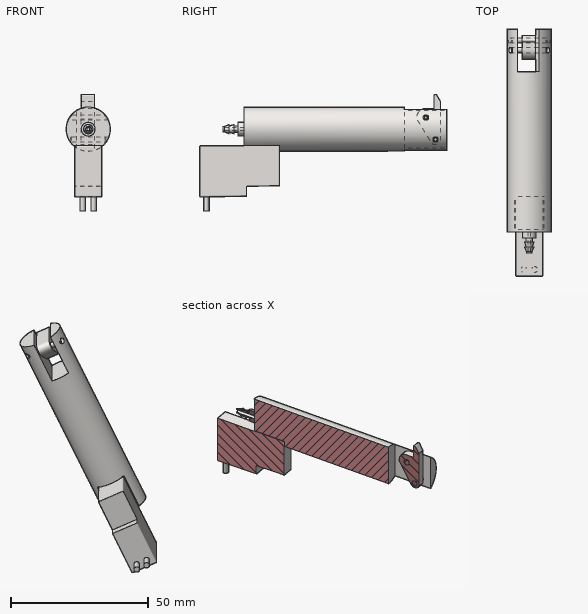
import cadquery as cq
import math


OVERALL_LENGTH = 89.6
OVERALL_HEIGHT = 42.3

TUBE_LENGTH = 73.6
TUBE_DIAMETER = 16.0
TUBE_RADIUS = TUBE_DIAMETER / 2
SLOT_DEPTH = 15.4
SLOT_LEFT = -4.2
SLOT_RIGHT = 2.3
SLOT_TOP_FLAT = 7.2
SEAT_Z = -6.0

PIN_RADIUS = 1.0
PIN_LENGTH = 13.0
PIN_CHAMFER = 0.45
PIVOT_Y = TUBE_LENGTH - 7.6
PIVOT_Z = 4.2
GUIDE_Y = TUBE_LENGTH - 4.1
GUIDE_Z = -3.8
PIN_CENTRES = [(PIVOT_Y, PIVOT_Z), (GUIDE_Y, GUIDE_Z)]

JAW_LEFT = -2.6
JAW_RIGHT = SLOT_RIGHT
JAW_FRONT_Y = TUBE_LENGTH - 2.2
FINGER_THICKNESS = 2.5
FINGER_TOP = TUBE_RADIUS + 4.6
FINGER_TIP_RADIUS = 0.6
FINGER_SLOPE = 60.0
PIVOT_BOSS_RADIUS = 3.3
JAW_HEEL_DROP = 0.5
GUIDE_BOSS_RADIUS = JAW_FRONT_Y - GUIDE_Y

FLANGE_RADIUS = 2.5
FLANGE_END = 2.15
NECK_RADIUS = 1.2
BARB_RADIUS = 1.7
FIRST_BARB = 3.5
SECOND_BARB = 5.4
SECOND_BARB_END = 7.1
NOZZLE_END = 7.6
TIP_RADIUS = 1.0
BORE_RADIUS = 0.5

BLOCK_WIDTH = 9.95
BLOCK_FRONT_Y = TUBE_LENGTH - OVERALL_LENGTH
BLOCK_BACK_Y = 13.0
STEP_Y = 1.0
BACK_BOTTOM_Z = -20.5
STEP_UPPER_Z = -20.8
STEP_LOWER_Z = -24.4
FRONT_BOTTOM_Z = -24.6
BLOCK_FILLET = 0.5

CONTACT_DIAMETER = 2.1
CONTACT_RADIUS = CONTACT_DIAMETER / 2
CONTACT_SPACING = 3.9
CONTACT_Y = BLOCK_FRONT_Y + 2.5
CONTACT_BOTTOM_Z = FINGER_TOP - OVERALL_HEIGHT


def box_between(x0, x1, y0, y1, z0, z1):
    """Box given by its limits along each axis."""
    return cq.Workplane("XY").box(x1 - x0, y1 - y0, z1 - z0, centered=False).translate((x0, y0, z0))


def cylinder_along_x(x0, x1, radius, centre):
    """Cylinder from x0 to x1 around a (Y, Z) centre."""
    return cq.Workplane("YZ", origin=(x0, 0, 0)).center(*centre).circle(radius).extrude(x1 - x0)


def make_housing():
    tube = cq.Workplane("XZ").circle(TUBE_RADIUS).extrude(-TUBE_LENGTH)
    reach = 2 * TUBE_RADIUS
    slot_y = TUBE_LENGTH - SLOT_DEPTH
    tube = tube.cut(box_between(SLOT_LEFT, SLOT_RIGHT, slot_y, TUBE_LENGTH, -reach, reach))
    tube = tube.cut(box_between(-reach, reach, slot_y, TUBE_LENGTH, SLOT_TOP_FLAT, reach))
    tube = tube.cut(box_between(-reach, reach, 0, BLOCK_BACK_Y, -reach, SEAT_Z))
    for centre in PIN_CENTRES:
        tube = tube.cut(cylinder_along_x(-reach, reach, PIN_RADIUS, centre))
    return tube


def make_pin(centre):
    pin = cylinder_along_x(-PIN_LENGTH / 2, PIN_LENGTH / 2, PIN_RADIUS, centre)
    return pin.faces("<X or >X").chamfer(PIN_CHAMFER)


def make_jaw():
    finger_back = JAW_FRONT_Y - FINGER_THICKNESS
    shelf_z = PIVOT_Z + PIVOT_BOSS_RADIUS

    tip_y = finger_back + FINGER_TIP_RADIUS
    tip_z = FINGER_TOP - FINGER_TIP_RADIUS
    slope = math.radians(FINGER_SLOPE)
    bevel_top_y = tip_y + FINGER_TIP_RADIUS * math.sin(slope)
    bevel_top_z = tip_z + FINGER_TIP_RADIUS * math.cos(slope)
    bevel_bottom_z = bevel_top_z - (JAW_FRONT_Y - bevel_top_y) * math.tan(slope)

    heel_y = PIVOT_Y - PIVOT_BOSS_RADIUS
    heel_z = PIVOT_Z - JAW_HEEL_DROP
    half_round = PIVOT_BOSS_RADIUS * math.sqrt(0.5)

    run_y = heel_y - GUIDE_Y
    run_z = heel_z - GUIDE_Z
    touch = math.atan2(run_z, run_y) + math.acos(GUIDE_BOSS_RADIUS / math.hypot(run_y, run_z))

    def on_guide_boss(angle):
        return (GUIDE_Y + GUIDE_BOSS_RADIUS * math.cos(angle), GUIDE_Z + GUIDE_BOSS_RADIUS * math.sin(angle))

    jaw = (
        cq.Workplane("YZ", origin=(JAW_LEFT, 0, 0))
        .moveTo(JAW_FRONT_Y, bevel_bottom_z)
        .lineTo(bevel_top_y, bevel_top_z)
        .threePointArc((tip_y, FINGER_TOP), (finger_back, tip_z))
        .lineTo(finger_back, shelf_z)
        .lineTo(PIVOT_Y, shelf_z)
        .threePointArc((PIVOT_Y - half_round, PIVOT_Z + half_round), (heel_y, PIVOT_Z))
        .lineTo(heel_y, heel_z)
        .lineTo(*on_guide_boss(touch))
        .threePointArc(on_guide_boss(touch / 2 + math.pi), (JAW_FRONT_Y, GUIDE_Z))
        .close()
        .extrude(JAW_RIGHT - JAW_LEFT)
    )
    for centre in PIN_CENTRES:
        jaw = jaw.cut(cylinder_along_x(JAW_LEFT, JAW_RIGHT, PIN_RADIUS, centre))
    return jaw


def make_nozzle():
    profile = [
        (BORE_RADIUS, 0),
        (FLANGE_RADIUS, 0),
        (FLANGE_RADIUS, -FLANGE_END),
        (NECK_RADIUS, -FLANGE_END),
        (NECK_RADIUS, -FIRST_BARB),
        (BARB_RADIUS, -FIRST_BARB),
        (NECK_RADIUS, -SECOND_BARB),
        (BARB_RADIUS, -SECOND_BARB),
        (TIP_RADIUS, -SECOND_BARB_END),
        (TIP_RADIUS, -NOZZLE_END),
        (BORE_RADIUS, -NOZZLE_END),
    ]
    return cq.Workplane("XY").polyline(profile).close().revolve(360, (0, 0, 0), (0, 1, 0))


def make_valve_block():
    outline = [
        (BLOCK_BACK_Y, SEAT_Z),
        (BLOCK_FRONT_Y, SEAT_Z),
        (BLOCK_FRONT_Y, FRONT_BOTTOM_Z),
        (STEP_Y, STEP_LOWER_Z),
        (STEP_Y, STEP_UPPER_Z),
        (BLOCK_BACK_Y, BACK_BOTTOM_Z),
    ]
    block = cq.Workplane("YZ").polyline(outline).close().extrude(BLOCK_WIDTH / 2, both=True)
    upright_ends = block.faces("<Y or >Y").edges("|Z")
    front_edges = block.faces("<Y").edges("|X")
    lower_sides = block.faces("<Z").edges("not |X")
    rounded_edges = upright_ends.vals() + front_edges.vals() + lower_sides.vals()
    block = block.newObject(rounded_edges).fillet(BLOCK_FILLET)

    for x in (-CONTACT_SPACING / 2, CONTACT_SPACING / 2):
        contact = cq.Workplane("XY", origin=(x, CONTACT_Y, CONTACT_BOTTOM_Z)).circle(CONTACT_RADIUS)
        block = block.union(contact.extrude(STEP_LOWER_Z + BLOCK_FILLET - CONTACT_BOTTOM_Z))
    return block


housing = make_housing()
jaw = make_jaw()
nozzle = make_nozzle()
valve_block = make_valve_block()
pins = [make_pin(centre) for centre in PIN_CENTRES]

result = cq.Compound.makeCompound(
    [
        housing.val(),
        jaw.val(),
        nozzle.val(),
        valve_block.val(),
        *[pin.val() for pin in pins],
    ]
)